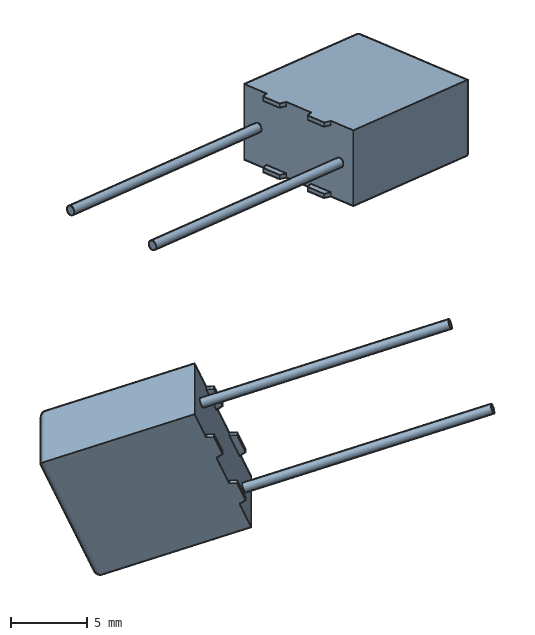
import cadquery as cq

housing_width = 10.0
housing_height = 5.5
housing_depth = 11.0
back_edge_radius = 0.45

foot_length = 0.48
foot_thickness = 0.3
foot_base_width = 1.82
foot_tip_width = 1.5
foot_spacing = 4.08

overall_length = 28.5
lead_diameter = 0.68
lead_spacing = 7.5
lead_length = overall_length - housing_depth


def make_foot(center_x, bottom_z):
    """Tapered foot that reaches forward from the front face."""
    return (
        cq.Workplane("XY", origin=(center_x, 0, bottom_z))
        .moveTo(-foot_base_width / 2, 0)
        .lineTo(-foot_tip_width / 2, -foot_length)
        .lineTo(foot_tip_width / 2, -foot_length)
        .lineTo(foot_base_width / 2, 0)
        .close()
        .extrude(foot_thickness)
    )


def make_housing():
    """Box with rounded back edges and four feet flush with its top and bottom."""
    housing = (
        cq.Workplane("XY")
        .box(housing_width, housing_depth, housing_height, centered=(True, False, True))
        .faces(">Y")
        .edges()
        .fillet(back_edge_radius)
    )
    lower_foot_z = -housing_height / 2
    upper_foot_z = housing_height / 2 - foot_thickness
    for center_x in (-foot_spacing / 2, foot_spacing / 2):
        for bottom_z in (lower_foot_z, upper_foot_z):
            housing = housing.union(make_foot(center_x, bottom_z))
    return housing


def make_lead(center_x):
    """Straight wire that starts on the front face and runs forward along -Y."""
    return (
        cq.Workplane("XZ", origin=(center_x, 0, 0))
        .circle(lead_diameter / 2)
        .extrude(lead_length)
    )


housing = make_housing()
leads = [make_lead(center_x) for center_x in (-lead_spacing / 2, lead_spacing / 2)]

result = cq.Compound.makeCompound([housing.val(), *[lead.val() for lead in leads]])